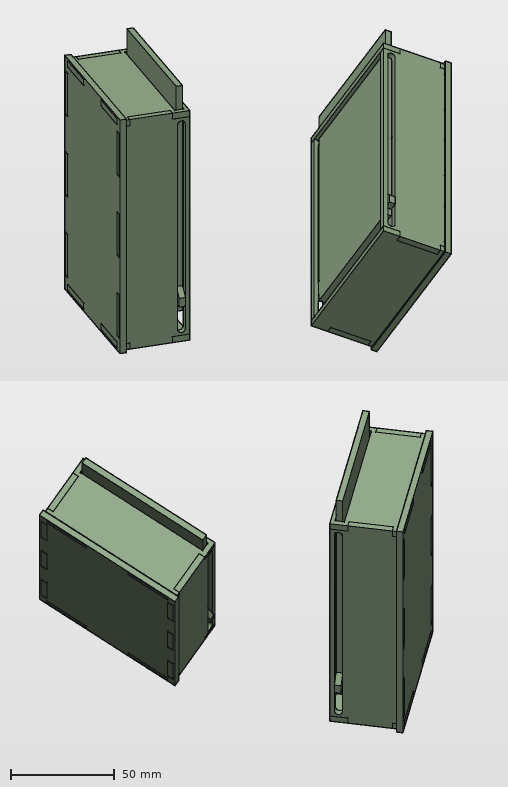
import cadquery as cq

sheet = 3.3
panel_width = 79.0
panel_height = 124.4
depth = 36.2
margin = 1.1

box_width = panel_width - 2 * margin
box_height = panel_height - 2 * margin
box_bottom = margin
box_top = box_bottom + box_height
wall_offset = (box_width - sheet) / 2

tab_length = 22.9
side_tab_pitch = 42.9
end_tab_offset = 23.7
mid_z = panel_height / 2
side_tab_centres = [mid_z + step * side_tab_pitch for step in (-1, 0, 1)]
end_tab_centres = [-end_tab_offset, end_tab_offset]

tongue_front = 5.4
tongue_length = 21.8
tongue = (tongue_front, tongue_front + tongue_length)

slider_width = 70.4
slider_front = 30.4
slider_bottom = 15.9
slider_top = 135.6
ear_bottom = 20.1
ear_tip_height = 4.6
ear_reach = (panel_width - slider_width) / 2
ear_slope_rise = 4.5
mouth_width = 71.3
mouth_front = 29.4
mouth_length = 4.7
side_slot_front = 30.0
side_slot_width = 4.0
side_slot_bottom = 5.8
side_slot_top = 118.4


def block(x, y, z):
    """Box filling the (low, high) ranges along X, Y and Z."""
    size = [high - low for low, high in (x, y, z)]
    return cq.Workplane("XY").box(*size, centered=False).translate((x[0], y[0], z[0]))


def centred(middle, length):
    """(low, high) range of a length about its middle."""
    return (middle - length / 2, middle + length / 2)


def make_side_wall(side):
    """Upright wall with front tabs, end tongues and the ear slot; side is -1 or +1."""
    x = centred(side * wall_offset, sheet)
    wall = block(x, (sheet, depth), (box_bottom + sheet, box_top - sheet))
    wall = wall.union(block(x, tongue, (box_bottom, box_top)))
    for z in side_tab_centres:
        wall = wall.union(block(x, (0, sheet), centred(z, tab_length)))
    slot_y = side_slot_front + side_slot_width / 2
    slot_z = (side_slot_bottom + side_slot_top) / 2
    slot = (
        cq.Workplane("YZ", origin=(x[0], slot_y, slot_z))
        .slot2D(side_slot_top - side_slot_bottom, side_slot_width, 90)
        .extrude(sheet)
    )
    return wall.cut(slot)


def make_end_plate(bottom):
    """Horizontal plate with front tabs, notched for the side wall tongues."""
    z = (bottom, bottom + sheet)
    plate = block(centred(0, box_width), (sheet, depth), z)
    for x in end_tab_centres:
        plate = plate.union(block(centred(x, tab_length), (0, sheet), z))
    for side in (-1, 1):
        plate = plate.cut(block(centred(side * wall_offset, sheet), tongue, z))
    return plate


def make_top_plate():
    """End plate with the mouth for the slider."""
    z = (box_top - sheet, box_top)
    mouth = block(centred(0, mouth_width), (mouth_front, mouth_front + mouth_length), z)
    return make_end_plate(z[0]).cut(mouth)


def make_front_panel(tabbed_bodies):
    """Plain panel, pierced by the tabs of the walls and plates."""
    panel = block(centred(0, panel_width), (0, sheet), (0, panel_height))
    for body in tabbed_bodies:
        panel = panel.cut(body)
    return panel


def make_slider():
    """Flat plate with a slope-topped ear on each edge."""
    edge = slider_width / 2
    tip = edge + ear_reach
    tip_top = ear_bottom + ear_tip_height
    right_half = [
        (edge, slider_bottom),
        (edge, ear_bottom),
        (tip, ear_bottom),
        (tip, tip_top),
        (edge, tip_top + ear_slope_rise),
        (edge, slider_top),
    ]
    left_half = [(-x, z) for x, z in reversed(right_half)]
    return (
        cq.Workplane("XZ", origin=(0, slider_front, 0))
        .polyline(right_half + left_half)
        .close()
        .extrude(-sheet)
    )


side_walls = [make_side_wall(side) for side in (-1, 1)]
bottom_plate = make_end_plate(box_bottom)
top_plate = make_top_plate()
front_panel = make_front_panel([*side_walls, bottom_plate, top_plate])
slider = make_slider()

result = cq.Compound.makeCompound(
    [
        front_panel.val(),
        *[wall.val() for wall in side_walls],
        bottom_plate.val(),
        top_plate.val(),
        slider.val(),
    ]
)